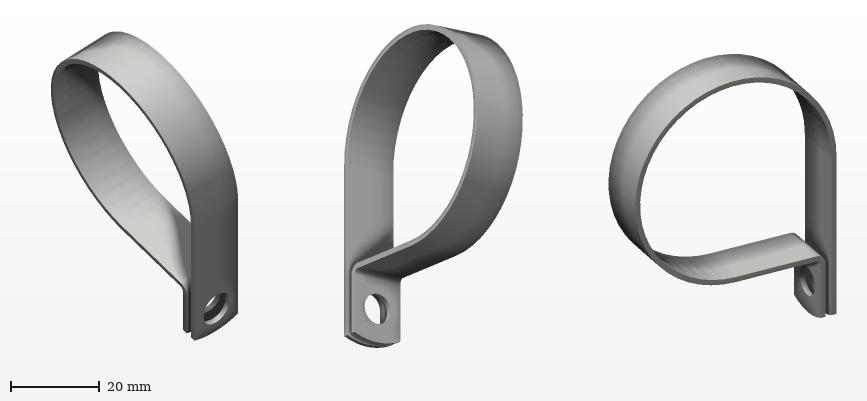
import cadquery as cq

height = 67.8
loop_diameter = 51.65
strip_width = 12.7
thickness = 1.3
leg_gap = 1.5
bend_inner_radius = 1.1
hole_diameter = 7.1
slot_length = 9.5
hole_height = 7.9
tip_rise = 1.35

outer_radius = loop_diameter / 2
inner_radius = outer_radius - thickness
tip_z = outer_radius - height
hole_z = tip_z + hole_height
short_leg_outer_x = inner_radius - leg_gap
short_leg_inner_x = short_leg_outer_x - thickness
bend_outer_radius = bend_inner_radius + thickness
bend_x = short_leg_inner_x - bend_inner_radius
bend_z = -outer_radius - bend_inner_radius
half_width = strip_width / 2


def make_strip():
    """Bent strip: long leg, three-quarter loop, flat run, bend and short leg."""
    return (
        cq.Workplane("XZ")
        .moveTo(outer_radius, tip_z)
        .lineTo(outer_radius, 0)
        .radiusArc((0, outer_radius), -outer_radius)
        .threePointArc((-outer_radius, 0), (0, -outer_radius))
        .lineTo(bend_x, -outer_radius)
        .radiusArc((short_leg_inner_x, bend_z), bend_inner_radius)
        .lineTo(short_leg_inner_x, tip_z)
        .lineTo(short_leg_outer_x, tip_z)
        .lineTo(short_leg_outer_x, bend_z)
        .radiusArc((bend_x, -inner_radius), -bend_outer_radius)
        .lineTo(0, -inner_radius)
        .radiusArc((-inner_radius, 0), inner_radius)
        .threePointArc((0, inner_radius), (inner_radius, 0))
        .lineTo(inner_radius, tip_z)
        .close()
        .extrude(half_width, both=True)
    )


def make_tip_envelope():
    """Full-width block whose lower end is the arc that rounds the leg tips."""
    return (
        cq.Workplane("YZ")
        .moveTo(-half_width, outer_radius)
        .lineTo(-half_width, tip_z + tip_rise)
        .threePointArc((0, tip_z), (half_width, tip_z + tip_rise))
        .lineTo(half_width, outer_radius)
        .close()
        .extrude(outer_radius, both=True)
    )


def make_screw_hole():
    """Cylinder along X passing through both legs."""
    return (
        cq.Workplane("YZ")
        .center(0, hole_z)
        .circle(hole_diameter / 2)
        .extrude(outer_radius)
    )


def make_adjustment_slot():
    """Upright slot through the long leg, starting in the gap between the legs."""
    return (
        cq.Workplane("YZ", origin=(inner_radius - leg_gap / 2, 0, hole_z))
        .slot2D(slot_length, hole_diameter, 90)
        .extrude(leg_gap / 2 + thickness)
    )


strip = make_strip().intersect(make_tip_envelope())
result = strip.cut(make_screw_hole()).cut(make_adjustment_slot())